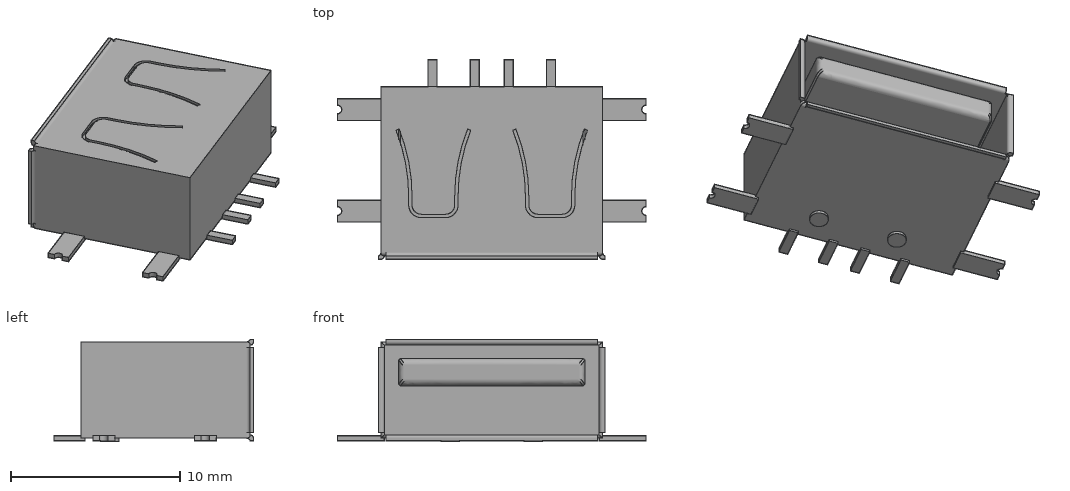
import cadquery as cq
import math

shell_width = 13.1
shell_height = 5.7
lip_rise = 0.15
shell_bottom = lip_rise
shell_top = shell_bottom + shell_height
shell_mid_z = (shell_bottom + shell_top) / 2
wall = 0.2
body_back = 10.2
lip_reach = 2 * wall
mouth_y = lip_reach - wall
mouth_rim = 0.005
cavity_depth = 8.9
lip_width = 12.5
lip_height = 5.05

tongue_width = 11.0
tongue_bottom = 3.25
tongue_top = 4.86
tongue_front = 0.2
tongue_round = 0.37
tongue_end_round = 0.3
tongue_corner = 0.1

slot_x = 3.45
slot_width = 0.2
slot_front = 2.56
slot_length = 5.1
slot_half_span = 1.36
slot_corner = 0.65
leg_straight = 0.5
leg_radius = 10.7

lead_thickness = 0.3
tab_span = 18.25
tab_width = 1.3
tab_centres_y = (2.85, 8.85)
notch_radius = 0.25
tail_width = 0.55
tail_centres_x = (-3.5, -1.0, 1.0, 3.5)
tail_end = 11.8
tail_embed = 0.25
peg_diameter = 1.1
peg_x = 2.45
peg_y = 8.5
peg_drop = 0.05


def block(x_range, y_range, z_range):
    """Axis-aligned box between the given limits."""
    size = [high - low for low, high in (x_range, y_range, z_range)]
    corner = (x_range[0], y_range[0], z_range[0])
    return cq.Workplane("XY").box(*size, centered=False).translate(corner)


def make_shell():
    """Rectangular tube, closed at the back, with its outer mouth edges rounded."""
    half = shell_width / 2
    tube = block((-half, half), (mouth_y, body_back), (shell_bottom, shell_top))
    tube = tube.faces("<Y").edges().fillet(wall - mouth_rim)
    cavity = block(
        (-half + wall, half - wall),
        (0, cavity_depth),
        (shell_bottom + wall, shell_top - wall),
    )
    return tube.cut(cavity)


def make_lip(length):
    """Outward-bent lip along X, outer wall surface at Z = 0."""
    outer_end = math.sqrt(wall**2 - (wall - lip_rise) ** 2)
    half_turn = math.acos((wall - lip_rise) / wall) / 2
    outer_mid = (lip_reach - wall * math.sin(half_turn), wall * (1 - math.cos(half_turn)))
    inner_mid = wall * math.sqrt(0.5)
    return (
        cq.Workplane("YZ", origin=(-length / 2, 0, 0))
        .moveTo(lip_reach, 0)
        .threePointArc(outer_mid, (lip_reach - outer_end, lip_rise))
        .lineTo(0, lip_rise)
        .lineTo(0, 0)
        .threePointArc((mouth_y - inner_mid, -inner_mid), (mouth_y, -wall))
        .lineTo(lip_reach, -wall)
        .close()
        .extrude(length)
    )


def add_lips(body):
    """Join one lip to each of the four walls around the mouth."""
    for angle, length, offset in (
        (0, lip_width, shell_height / 2),
        (90, lip_height, shell_width / 2),
        (180, lip_width, shell_height / 2),
        (270, lip_height, shell_width / 2),
    ):
        lip = make_lip(length).translate((0, 0, offset))
        lip = lip.rotate((0, 0, 0), (0, 1, 0), angle)
        body = body.union(lip.translate((0, 0, shell_mid_z)))
    return body


def rounded_bar(length, height, inset):
    """Bar along X, centred in X and Z, with elliptically rounded front edges.

    The rounding takes `inset` from the height and `tongue_round` from the depth.
    """
    rounding_y = tongue_front + tongue_round
    return (
        cq.Workplane("YZ", origin=(-length / 2, 0, 0))
        .moveTo(body_back, height / 2)
        .lineTo(rounding_y, height / 2)
        .ellipseArc(tongue_round, inset, 90, 180)
        .lineTo(tongue_front, inset - height / 2)
        .ellipseArc(tongue_round, inset, 180, 270)
        .lineTo(body_back, -height / 2)
        .close()
        .extrude(length)
    )


def make_tongue():
    """Tongue with mitred round front edges and narrow bevels at its corners."""
    height = tongue_top - tongue_bottom
    tongue = rounded_bar(tongue_width, height, tongue_round)
    upright = rounded_bar(height, tongue_width, tongue_end_round)
    tongue = tongue.intersect(upright.rotate((0, 0, 0), (0, 1, 0), 90))
    bevel_span = (tongue_width + height - 2 * tongue_corner) * math.sqrt(0.5)
    bevel_inset = (tongue_round + tongue_end_round) * math.sqrt(0.5)
    for angle in (45, -45):
        bevel = rounded_bar(2 * tongue_width, bevel_span, bevel_inset)
        tongue = tongue.intersect(bevel.rotate((0, 0, 0), (0, 1, 0), angle))
    return tongue.translate((0, 0, (tongue_bottom + tongue_top) / 2))


def make_slot():
    """U-shaped slot with flared legs, centred on X = 0."""
    corner_end_y = slot_front + slot_corner
    leg_start_y = corner_end_y + leg_straight
    leg_centre_x = slot_half_span + leg_radius
    leg_angle = math.asin((slot_front + slot_length - leg_start_y) / leg_radius)

    def leg_point(side, offset, angle):
        radius = leg_radius + offset
        return (
            side * (leg_centre_x - radius * math.cos(angle)),
            leg_start_y + radius * math.sin(angle),
        )

    def corner_point(side, offset, angle):
        radius = slot_corner - offset
        return (
            side * (slot_half_span - slot_corner + radius * math.cos(angle)),
            corner_end_y - radius * math.sin(angle),
        )

    def trace(outline, start_side, offset):
        """Follow one edge of the slot from one leg end to the other."""
        end_side = -start_side
        return (
            outline.threePointArc(
                leg_point(start_side, offset, leg_angle / 2), leg_point(start_side, offset, 0)
            )
            .lineTo(*corner_point(start_side, offset, 0))
            .threePointArc(
                corner_point(start_side, offset, math.pi / 4),
                corner_point(start_side, offset, math.pi / 2),
            )
            .lineTo(*corner_point(end_side, offset, math.pi / 2))
            .threePointArc(
                corner_point(end_side, offset, math.pi / 4), corner_point(end_side, offset, 0)
            )
            .lineTo(*leg_point(end_side, offset, 0))
            .threePointArc(
                leg_point(end_side, offset, leg_angle / 2), leg_point(end_side, offset, leg_angle)
            )
        )

    outer = -slot_width / 2
    inner = slot_width / 2
    outline = cq.Workplane("XY", origin=(0, 0, shell_top - wall))
    outline = outline.moveTo(*leg_point(-1, outer, leg_angle))
    outline = trace(outline, -1, outer)
    outline = outline.lineTo(*leg_point(1, inner, leg_angle))
    outline = trace(outline, 1, inner)
    return outline.close().extrude(wall)


def make_tab(side, centre_y):
    """Solder tab with a half-round notch in its outer end."""
    end_x = side * tab_span / 2
    root_x = side * (shell_width / 2 - wall)
    tab = block(
        sorted((root_x, end_x)),
        (centre_y - tab_width / 2, centre_y + tab_width / 2),
        (0, lead_thickness),
    )
    notch = cq.Workplane("XY").center(end_x, centre_y).circle(notch_radius).extrude(lead_thickness)
    return tab.cut(notch)


def make_tail(centre_x):
    """Flat contact tail leaving the back of the body."""
    return block(
        (centre_x - tail_width / 2, centre_x + tail_width / 2),
        (body_back - tail_embed, tail_end),
        (0, lead_thickness),
    )


def make_peg(side):
    """Round locating peg through the bottom wall."""
    return (
        cq.Workplane("XY", origin=(side * peg_x, peg_y, -peg_drop))
        .circle(peg_diameter / 2)
        .extrude(peg_drop + shell_bottom + wall)
    )


result = add_lips(make_shell()).union(make_tongue())
for side in (-1, 1):
    result = result.cut(make_slot().translate((side * slot_x, 0, 0)))
    result = result.union(make_peg(side))
    for centre_y in tab_centres_y:
        result = result.union(make_tab(side, centre_y))
for centre_x in tail_centres_x:
    result = result.union(make_tail(centre_x))